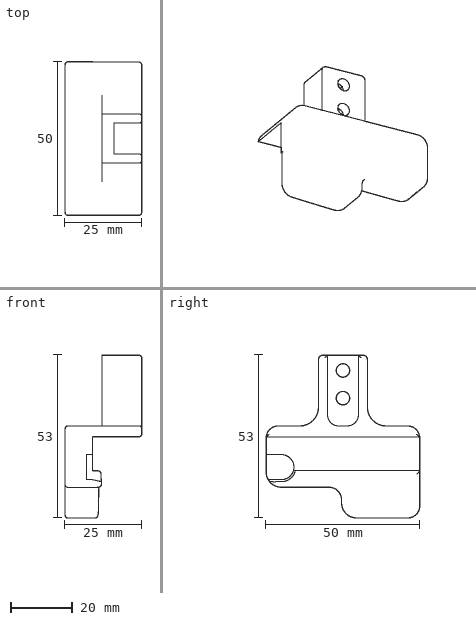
import cadquery as cq
import math

width = 50.0
half_width = width / 2
tall_height = 30.0
short_height = 20.0
step_y = -0.5
body_depth = 9.0
sharp_corner_radius = 4.0
wide_corner_radius = 5.0
edge_radius = 1.0

lip_top_z = -14.6
lip_depth_at_short_side = 12.0
lip_depth_at_centre = 11.0
lip_depth_at_tall_side = 9.1

plate_depth = 25.0
plate_thickness = 3.6
tab_front_x = 12.0
tab_width = 16.0
tab_height = 23.0
tab_corner_radius = 1.5
tab_root_radius = 6.0

channel_front_x = 16.0
channel_width = 10.0
channel_floor_radius = 3.5

hole_diameter = 4.3
hole_heights = (9.0, 18.0)

pocket_floor_x = 7.0
pocket_width = 8.15
pocket_centre_z = -13.43
pocket_end_centre_y = -20.0
pocket_flare = 13.0


def body_outline(depth):
    """Stepped body profile with rounded corners, extruded along +X from x = 0."""
    corners = [
        (-half_width, 0, sharp_corner_radius),
        (half_width, 0, sharp_corner_radius),
        (half_width, -tall_height, sharp_corner_radius),
        (step_y, -tall_height, wide_corner_radius),
        (step_y, -short_height, sharp_corner_radius),
        (-half_width, -short_height, wide_corner_radius),
    ]
    points = [(y, z) for y, z, _ in corners]
    block = cq.Workplane("YZ").polyline(points).close().extrude(depth)
    for y, z, radius in corners:
        corner_edge = cq.selectors.NearestToPointSelector((depth / 2, y, z))
        block = block.edges("|X").edges(corner_edge).fillet(radius)
    return block


def slab(x_start, x_end, z_bottom, z_top):
    """Box across the full width of the part."""
    size = (x_end - x_start, width, z_top - z_bottom)
    return cq.Workplane().box(*size, centered=(False, True, False)).translate((x_start, 0, z_bottom))


def make_lip():
    """Lower strip of the body with a gently bowed back face and a rounded rim."""
    lip_limit = (
        cq.Workplane("XY", origin=(0, 0, -tall_height))
        .moveTo(0, -half_width)
        .lineTo(lip_depth_at_short_side, -half_width)
        .threePointArc((lip_depth_at_centre, 0), (lip_depth_at_tall_side, half_width))
        .lineTo(0, half_width)
        .close()
        .extrude(tall_height + lip_top_z)
    )
    lip = body_outline(plate_depth).intersect(lip_limit)
    back_face = cq.selectors.NearestToPointSelector((plate_depth, 0, -short_height))
    lip = lip.faces(back_face).edges().fillet(edge_radius)
    front_rounded = body_outline(plate_depth).faces("<X").edges().fillet(edge_radius)
    return lip.intersect(front_rounded)


def make_body():
    """Body with a rounded front edge, flat at the back above the lip."""
    upper_body = body_outline(body_depth).faces("<X").edges().fillet(edge_radius)
    upper_body = upper_body.intersect(slab(0, body_depth, lip_top_z, 0))
    return upper_body.union(make_lip())


def make_plate():
    """Flat plate along the top of the body, reaching back past it."""
    return body_outline(plate_depth).intersect(slab(edge_radius, plate_depth, -plate_thickness, 0))


def make_tab():
    """Upright tab with rounded top corners and wide concave roots."""
    half_tab = tab_width / 2
    half_root = half_tab + tab_root_radius
    root_sag = tab_root_radius * (1 - math.sqrt(0.5))
    tab_depth = plate_depth - tab_front_x
    return (
        cq.Workplane("YZ", origin=(tab_front_x, 0, 0))
        .moveTo(-half_root, -plate_thickness)
        .lineTo(-half_root, 0)
        .threePointArc((-half_tab - root_sag, root_sag), (-half_tab, tab_root_radius))
        .lineTo(-half_tab, tab_height)
        .lineTo(half_tab, tab_height)
        .lineTo(half_tab, tab_root_radius)
        .threePointArc((half_tab + root_sag, root_sag), (half_root, 0))
        .lineTo(half_root, -plate_thickness)
        .close()
        .extrude(tab_depth)
        .edges("|X and >Z")
        .fillet(tab_corner_radius)
    )


def make_channel():
    """Channel cutter with a round-cornered floor level with the plate's top face."""
    channel_depth = plate_depth - channel_front_x
    return (
        cq.Workplane()
        .box(channel_depth, channel_width, tab_height, centered=(False, True, False))
        .translate((channel_front_x, 0, 0))
        .edges("|X and <Z")
        .fillet(channel_floor_radius)
    )


def make_screw_holes():
    """Cylinders that cut the two screw holes along X."""
    centres = [(0, z) for z in hole_heights]
    return cq.Workplane("YZ").pushPoints(centres).circle(hole_diameter / 2).extrude(plate_depth)


def make_pocket():
    """Straight round-ended pocket that flares outward where it crosses the lip."""
    end_y = pocket_end_centre_y + pocket_width / 2
    slot_length = half_width + end_y + 2 * pocket_width
    slot_centre_y = end_y - slot_length / 2
    flare_depth = plate_depth - body_depth

    def slot_at(x):
        plane = cq.Workplane("YZ", origin=(x, slot_centre_y, pocket_centre_z))
        return plane.slot2D(slot_length, pocket_width)

    straight = slot_at(pocket_floor_x).extrude(body_depth - pocket_floor_x)
    flare = slot_at(body_depth).extrude(flare_depth, taper=-pocket_flare)
    flare = flare.intersect(slab(body_depth, plate_depth, -tall_height, -plate_thickness))
    return straight.union(flare)


def make_bracket():
    """Plate and channelled tab, with every edge of the rear face rounded."""
    bracket = make_plate().union(make_tab()).cut(make_channel())
    return bracket.faces(">X").edges().fillet(edge_radius)


result = make_body().union(make_bracket()).cut(make_screw_holes()).cut(make_pocket())